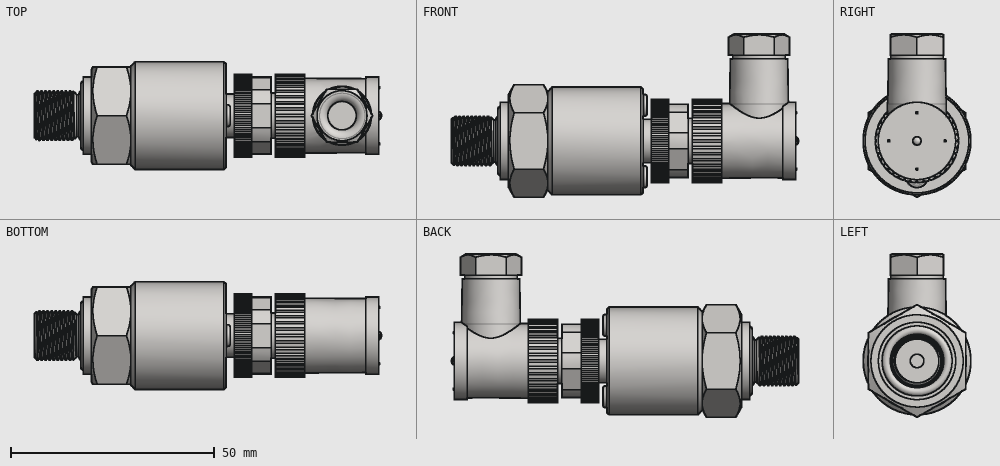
import cadquery as cq
import math


THREAD_RADIUS = 12.2 / 2
THREAD_ROOT_RADIUS = 5.45
THREAD_TURNS = 10
THREAD_TURNS_LENGTH = 10.0
THREAD_PITCH = THREAD_TURNS_LENGTH / THREAD_TURNS
THREAD_GROOVE_WIDTH = 0.9
THREAD_CUT_CLEARANCE = 0.1
THREAD_LENGTH = 10.4
PORT_FACE_RADIUS = 5.4
NECK_RADIUS = 5.2
PRESSURE_HOLE_DIA = 3.3

COLLAR_FACE_X = 11.9
COLLAR_RADIUS = 19.0 / 2
NECK_FILLET = 1.0
SEAL_CENTRE_RADIUS = 7.6
SEAL_SECTION_RADIUS = 1.0
SEAL_CENTRE_X = 12.4

HEX_FRONT_X = 14.0
HEX_REAR_X = 23.6
HEX_ACROSS_FLATS = 24.0
HEX_FRONT_FACE_RADIUS = 11.3
HEX_REAR_FACE_RADIUS = 12.1

HEX_CHAMFER_ANGLE = 30

HOUSING_RADIUS = 26.5 / 2
HOUSING_REAR_X = 47.1
HOUSING_REAR_CHAMFER = 0.5
SCREW_HEAD_DIA = 5.4
SCREW_HEAD_HEIGHT = 1.0
SCREW_HEAD_FILLET = 0.7
SCREW_CIRCLE_RADIUS = 8.8
STEM_RADIUS = 5.4

NUT_FRONT_X = 49.1
NUT_KNURL_WIDTH = 4.3
NUT_HEX_WIDTH = 4.8
NUT_HEX_ACROSS_FLATS = 18.1
NUT_HEX_CORNER_DIA = 19.0
NUT_GROOVE_COUNT = 60
KNURL_RADIUS = 10.2
NUT_GROOVE_RADIUS = 0.25

ELBOW_NECK_RADIUS = 11.2 / 2
RING_FRONT_X = 59.2
RING_WIDTH = 7.25
RING_GROOVE_COUNT = 40
RING_GROOVE_RADIUS = 0.3
BARREL_FRONT_RADIUS = 9.2
BARREL_REAR_RADIUS = 9.1
CAP_RADIUS = 19.0 / 2
CAP_FRONT_X = 81.4
CAP_REAR_X = 84.6
OVERALL_LENGTH = 85.3
TIP_BASE_RADIUS = 1.0
PIP_COUNT = 4
PIP_RADIUS = 0.25
PIP_CIRCLE_RADIUS = 6.9

OUTLET_X = 75.5
OUTLET_LOWER_RADIUS = 7.25
OUTLET_TOP_RADIUS = 7.1
OUTLET_TAPER_Z = 9.1
OUTLET_TOP_Z = 20.1
GLAND_NECK_RADIUS = 6.5
GLAND_HEX_Z = 21.1
GLAND_TOP_Z = 26.3
GLAND_ACROSS_FLATS = 13.05
GLAND_TOP_FACE_RADIUS = 6.1
GLAND_HOLE_DIA = 7.0
GLAND_MOUTH_DIA = 11.2

JOINT_X = NUT_FRONT_X + NUT_KNURL_WIDTH

RING_REAR_X = RING_FRONT_X + RING_WIDTH


def turned(points):
    """Solid of revolution about X from (x, radius) points; the profile closes along the axis."""
    profile = [(points[0][0], 0), *points, (points[-1][0], 0)]
    return cq.Workplane("XY").polyline(profile).close().revolve(360, (0, 0, 0), (1, 0, 0))


def disc(x, radius, length):
    """Cylinder on the X axis that starts at x."""
    return cq.Workplane("YZ", origin=(x, 0, 0)).circle(radius).extrude(length)


def knurled_disc(x, width, groove_count, groove_radius):
    """Disc on the X axis with half-round grooves around its rim."""
    grooves = (
        cq.Workplane("YZ", origin=(x, 0, 0))
        .polarArray(KNURL_RADIUS, 0, 360, groove_count)
        .circle(groove_radius)
        .extrude(width)
    )
    return disc(x, KNURL_RADIUS, width).cut(grooves)


def chamfer_run(corner_radius, face_radius):
    """Axial length of a hexagon's conical chamfer from its end face to its corners."""
    return (corner_radius - face_radius) * math.tan(math.radians(HEX_CHAMFER_ANGLE))


def threaded_port():
    """Threaded spigot with a chamfered start, run-out cone and undercut neck."""
    start_chamfer = THREAD_RADIUS - PORT_FACE_RADIUS
    run_out = THREAD_RADIUS - NECK_RADIUS
    outline = turned([
        (0, PORT_FACE_RADIUS),
        (start_chamfer, THREAD_RADIUS),
        (THREAD_LENGTH - run_out, THREAD_RADIUS),
        (THREAD_LENGTH, NECK_RADIUS),
        (COLLAR_FACE_X, NECK_RADIUS),
    ])
    blank = disc(0, THREAD_RADIUS, COLLAR_FACE_X)
    return blank.cut(thread_groove()).intersect(outline)


def thread_groove():
    """Helical V groove, made along Z and then turned onto the X axis."""
    mouth_radius = THREAD_RADIUS + THREAD_CUT_CLEARANCE
    half_width = THREAD_GROOVE_WIDTH / 2
    length = THREAD_LENGTH + THREAD_PITCH
    helix = cq.Wire.makeHelix(THREAD_PITCH, length, THREAD_ROOT_RADIUS)
    groove = (
        cq.Workplane("XZ")
        .moveTo(THREAD_ROOT_RADIUS, 0)
        .lineTo(mouth_radius, half_width)
        .lineTo(mouth_radius, -half_width)
        .close()
        .sweep(cq.Workplane(helix), isFrenet=True)
    )
    return groove.rotate((0, 0, 0), (0, 1, 0), 90).translate((-THREAD_PITCH, 0, 0))


def sealing_collar():
    """Collar with a face groove for the seal ring and a fillet where the neck joins it."""
    collar = disc(COLLAR_FACE_X, COLLAR_RADIUS, HEX_FRONT_X - COLLAR_FACE_X)
    fillet = (
        cq.Workplane("XY")
        .moveTo(COLLAR_FACE_X - NECK_FILLET, NECK_RADIUS)
        .radiusArc((COLLAR_FACE_X, NECK_RADIUS + NECK_FILLET), NECK_FILLET)
        .lineTo(COLLAR_FACE_X, 0)
        .lineTo(COLLAR_FACE_X - NECK_FILLET, 0)
        .close()
        .revolve(360, (0, 0, 0), (1, 0, 0))
    )
    groove_depth = SEAL_CENTRE_X + SEAL_SECTION_RADIUS - COLLAR_FACE_X
    groove = (
        cq.Workplane("YZ", origin=(COLLAR_FACE_X, 0, 0))
        .circle(SEAL_CENTRE_RADIUS + SEAL_SECTION_RADIUS)
        .circle(SEAL_CENTRE_RADIUS - SEAL_SECTION_RADIUS)
        .extrude(groove_depth)
    )
    return collar.cut(groove).union(fillet)


def wrench_hexagon():
    """Hexagon with its corners up and down and both ends chamfered."""
    corner_radius = HEX_ACROSS_FLATS / math.sqrt(3)
    prism = (
        cq.Workplane("YZ", origin=(HEX_FRONT_X, 0, 0))
        .polygon(6, 2 * corner_radius)
        .extrude(HEX_REAR_X - HEX_FRONT_X)
        .rotate((0, 0, 0), (1, 0, 0), 30)
    )
    envelope = turned([
        (HEX_FRONT_X, HEX_FRONT_FACE_RADIUS),
        (HEX_FRONT_X + chamfer_run(corner_radius, HEX_FRONT_FACE_RADIUS), corner_radius),
        (HEX_REAR_X - chamfer_run(corner_radius, HEX_REAR_FACE_RADIUS), corner_radius),
        (HEX_REAR_X, HEX_REAR_FACE_RADIUS),
    ])
    return prism.intersect(envelope)


def screw_heads():
    """Two rounded screw heads on the rear face, above and below the axis."""
    return (
        cq.Workplane("YZ", origin=(HOUSING_REAR_X, 0, 0))
        .pushPoints([(0, SCREW_CIRCLE_RADIUS), (0, -SCREW_CIRCLE_RADIUS)])
        .circle(SCREW_HEAD_DIA / 2)
        .extrude(SCREW_HEAD_HEIGHT)
        .faces(">X")
        .edges()
        .fillet(SCREW_HEAD_FILLET)
    )


def make_sensor():
    """Port, collar, hexagon, housing and rear stem, with the pressure hole through the port."""
    front_chamfer = HOUSING_RADIUS - HEX_REAR_FACE_RADIUS
    housing = turned([
        (HEX_REAR_X, HEX_REAR_FACE_RADIUS),
        (HEX_REAR_X + front_chamfer, HOUSING_RADIUS),
        (HOUSING_REAR_X - HOUSING_REAR_CHAMFER, HOUSING_RADIUS),
        (HOUSING_REAR_X, HOUSING_RADIUS - HOUSING_REAR_CHAMFER),
    ])
    stem = disc(HOUSING_REAR_X, STEM_RADIUS, JOINT_X - HOUSING_REAR_X)
    pressure_hole = disc(0, PRESSURE_HOLE_DIA / 2, HEX_FRONT_X)
    return (
        housing.union(wrench_hexagon())
        .union(sealing_collar())
        .union(threaded_port())
        .union(screw_heads())
        .union(stem)
        .cut(pressure_hole)
    )


def make_seal_ring():
    """Round-section ring lying in the collar's face groove."""
    return (
        cq.Workplane("XY")
        .center(SEAL_CENTRE_X, SEAL_CENTRE_RADIUS)
        .circle(SEAL_SECTION_RADIUS)
        .revolve(360, (0, -SEAL_CENTRE_RADIUS, 0), (1, -SEAL_CENTRE_RADIUS, 0))
    )


def make_coupling_nut():
    """Knurled ring and rounded hexagon, bored for the sensor stem and the elbow neck."""
    knurl = knurled_disc(NUT_FRONT_X, NUT_KNURL_WIDTH, NUT_GROOVE_COUNT, NUT_GROOVE_RADIUS)
    hexagon = (
        cq.Workplane("YZ", origin=(JOINT_X, 0, 0))
        .polygon(6, 2 * NUT_HEX_ACROSS_FLATS / math.sqrt(3))
        .extrude(NUT_HEX_WIDTH)
        .intersect(disc(JOINT_X, NUT_HEX_CORNER_DIA / 2, NUT_HEX_WIDTH))
    )
    stem_bore = disc(NUT_FRONT_X, STEM_RADIUS, NUT_KNURL_WIDTH)
    neck_bore = disc(JOINT_X, ELBOW_NECK_RADIUS, NUT_HEX_WIDTH)
    return knurl.union(hexagon).cut(stem_bore).cut(neck_bore)


def elbow_barrel():
    """Neck, knurled ring, tapered barrel and end cap along the X axis."""
    neck = disc(JOINT_X, ELBOW_NECK_RADIUS, RING_FRONT_X - JOINT_X)
    ring = knurled_disc(RING_FRONT_X, RING_WIDTH, RING_GROOVE_COUNT, RING_GROOVE_RADIUS)
    barrel = turned([
        (RING_REAR_X, BARREL_FRONT_RADIUS),
        (CAP_FRONT_X, BARREL_REAR_RADIUS),
    ])
    cap = disc(CAP_FRONT_X, CAP_RADIUS, CAP_REAR_X - CAP_FRONT_X)
    return neck.union(ring).union(barrel).union(cap)


def cap_details():
    """Domed tip in the middle of the cap and four small round pips around it."""
    tip_height = OVERALL_LENGTH - CAP_REAR_X
    tip = (
        cq.Workplane("XY")
        .moveTo(CAP_REAR_X, 0)
        .lineTo(CAP_REAR_X, TIP_BASE_RADIUS)
        .radiusArc((OVERALL_LENGTH, 0), (TIP_BASE_RADIUS**2 + tip_height**2) / (2 * tip_height))
        .close()
        .revolve(360, (0, 0, 0), (1, 0, 0))
    )
    pips = (
        cq.Workplane("YZ", origin=(CAP_REAR_X, 0, 0))
        .polarArray(PIP_CIRCLE_RADIUS, 0, 360, PIP_COUNT)
        .sphere(PIP_RADIUS)
    )
    return tip.union(pips)


def cable_outlet():
    """Upright tube: straight up to the top of the barrel, then slightly tapered."""
    lower = (
        cq.Workplane("XY", origin=(OUTLET_X, 0, 0))
        .circle(OUTLET_LOWER_RADIUS)
        .extrude(OUTLET_TAPER_Z)
    )
    upper = (
        cq.Workplane("XY", origin=(OUTLET_X, 0, OUTLET_TAPER_Z))
        .circle(OUTLET_LOWER_RADIUS)
        .workplane(offset=OUTLET_TOP_Z - OUTLET_TAPER_Z)
        .circle(OUTLET_TOP_RADIUS)
        .loft()
    )
    return lower.union(upper)


def cable_gland():
    """Hexagonal gland on a short neck, with a chamfered top and a rounded hole mouth."""
    corner_radius = GLAND_ACROSS_FLATS / math.sqrt(3)
    chamfer_start_z = GLAND_TOP_Z - chamfer_run(corner_radius, GLAND_TOP_FACE_RADIUS)
    neck = (
        cq.Workplane("XY", origin=(OUTLET_X, 0, OUTLET_TOP_Z))
        .circle(GLAND_NECK_RADIUS)
        .extrude(GLAND_HEX_Z - OUTLET_TOP_Z)
    )
    envelope = (
        cq.Workplane("XZ")
        .moveTo(0, GLAND_HEX_Z)
        .lineTo(corner_radius, GLAND_HEX_Z)
        .lineTo(corner_radius, chamfer_start_z)
        .lineTo(GLAND_TOP_FACE_RADIUS, GLAND_TOP_Z)
        .lineTo(0, GLAND_TOP_Z)
        .close()
        .revolve(360, (0, 0, 0), (0, 1, 0))
        .translate((OUTLET_X, 0, 0))
    )
    hexagon = (
        cq.Workplane("XY", origin=(OUTLET_X, 0, GLAND_HEX_Z))
        .polygon(6, 2 * corner_radius)
        .extrude(GLAND_TOP_Z - GLAND_HEX_Z)
        .intersect(envelope)
    )
    return neck.union(hexagon).cut(gland_hole())


def gland_hole():
    """Cable hole through the gland, flaring to its mouth along a quarter round."""
    hole_radius = GLAND_HOLE_DIA / 2
    mouth_radius = GLAND_MOUTH_DIA / 2
    flare = mouth_radius - hole_radius
    return (
        cq.Workplane("XZ")
        .moveTo(0, OUTLET_TOP_Z)
        .lineTo(hole_radius, OUTLET_TOP_Z)
        .lineTo(hole_radius, GLAND_TOP_Z - flare)
        .radiusArc((mouth_radius, GLAND_TOP_Z), flare)
        .lineTo(0, GLAND_TOP_Z)
        .close()
        .revolve(360, (0, 0, 0), (0, 1, 0))
        .translate((OUTLET_X, 0, 0))
    )


def make_elbow_connector():
    """Barrel along X with the cable outlet and gland standing on it."""
    return elbow_barrel().union(cap_details()).union(cable_outlet()).union(cable_gland())


sensor = make_sensor()
seal_ring = make_seal_ring()
coupling_nut = make_coupling_nut()
elbow_connector = make_elbow_connector()

result = cq.Compound.makeCompound([
    sensor.val(),
    seal_ring.val(),
    coupling_nut.val(),
    elbow_connector.val(),
])